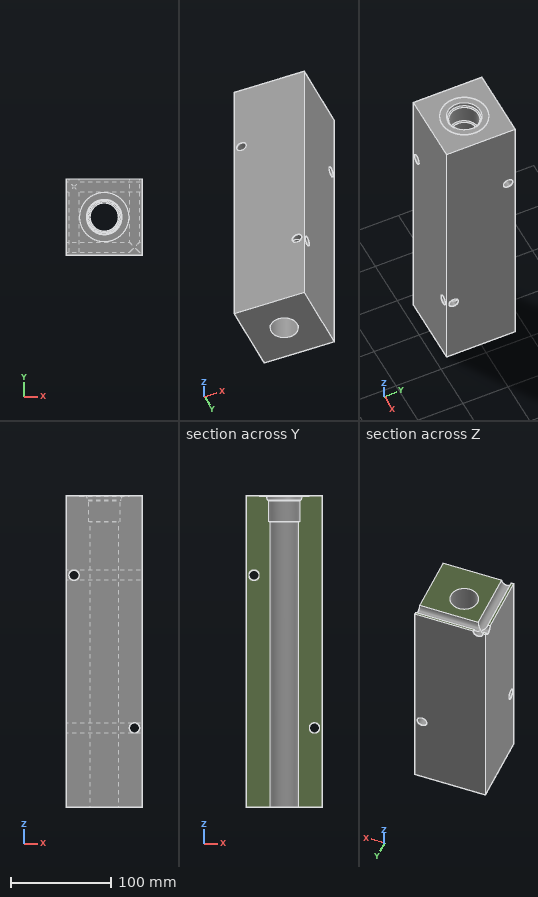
import cadquery as cq
import math

side = 76.2
height = 311.0

spotface_diameter = 49.2
spotface_depth = 0.5
port_mouth_diameter = 35.5
port_taper_angle = 15.0
port_taper_depth = 3.5
port_diameter = 31.0
port_chamfer_depth = 1.2
port_depth = 25.0
port_floor_slope = 30.0
bore_diameter = 28.0

mount_hole_diameter = 10.0
mount_hole_chamfer = 0.3
mount_hole_offset = 30.2
mount_hole_height = 76.2


def make_port_and_bore():
    """Solid of revolution removed along the block's axis."""
    top = height / 2
    seat = top - spotface_depth
    taper_end = seat - port_taper_depth
    port_end = seat - port_depth
    taper_end_radius = port_mouth_diameter / 2 - port_taper_depth * math.tan(math.radians(port_taper_angle))
    floor_drop = (port_diameter - bore_diameter) / 2 * math.tan(math.radians(port_floor_slope))
    return (
        cq.Workplane("XZ")
        .moveTo(0, top)
        .lineTo(spotface_diameter / 2, top)
        .lineTo(spotface_diameter / 2, seat)
        .lineTo(port_mouth_diameter / 2, seat)
        .lineTo(taper_end_radius, taper_end)
        .lineTo(port_diameter / 2, taper_end - port_chamfer_depth)
        .lineTo(port_diameter / 2, port_end)
        .lineTo(bore_diameter / 2, port_end - floor_drop)
        .lineTo(bore_diameter / 2, -top)
        .lineTo(0, -top)
        .close()
        .revolve(360, (0, 0), (0, 1))
    )


def make_mount_hole():
    """Cutter through the whole block along Z, chamfered at both mouths."""
    hole_radius = mount_hole_diameter / 2
    mouth_radius = hole_radius + mount_hole_chamfer
    face = side / 2
    chamfer_end = face - mount_hole_chamfer
    return (
        cq.Workplane("XZ")
        .moveTo(0, face)
        .lineTo(mouth_radius, face)
        .lineTo(hole_radius, chamfer_end)
        .lineTo(hole_radius, -chamfer_end)
        .lineTo(mouth_radius, -face)
        .lineTo(0, -face)
        .close()
        .revolve(360, (0, 0), (0, 1))
        .val()
    )


def make_mount_holes(plane, side_of_upper_hole):
    """Two diagonally opposite through holes drilled square to the given plane."""
    upper = (side_of_upper_hole * mount_hole_offset, mount_hole_height)
    lower = (-side_of_upper_hole * mount_hole_offset, -mount_hole_height)
    return (
        cq.Workplane(plane)
        .pushPoints([upper, lower])
        .eachpoint(make_mount_hole(), useLocalCoordinates=True)
    )


block = cq.Workplane("XY").box(side, side, height)
result = (
    block.cut(make_port_and_bore())
    .cut(make_mount_holes("XZ", -1))
    .cut(make_mount_holes("YZ", 1))
)